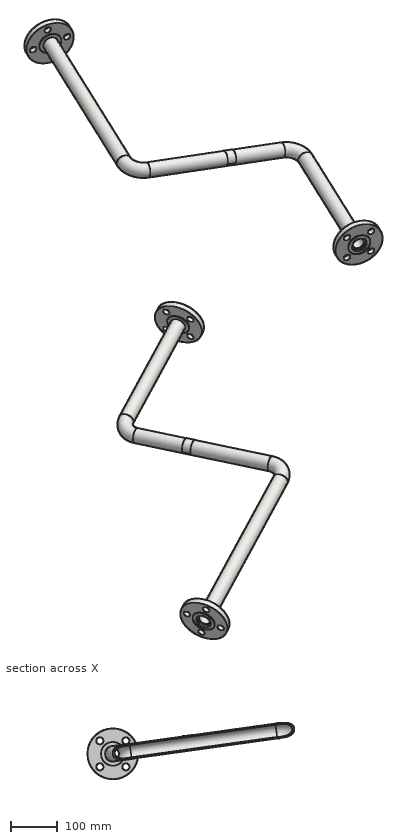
import cadquery as cq
import math

OVERALL_LENGTH = 819.0
RUN_OFFSET_Y = 387.0
RUN_DROP_Z = 54.0
MIDDLE_RUN_X = 473.0
MIDDLE_RUN_LENGTH = math.hypot(RUN_OFFSET_Y, RUN_DROP_Z)
SLOPE_ANGLE = math.degrees(math.atan2(RUN_DROP_Z, RUN_OFFSET_Y))

PIPE_DIAMETER = 33.5
PIPE_BORE = 25.0
BEND_RADIUS = 38.5
PIPE_SETBACK = 6.0

FLANGE_DIAMETER = 109.0
FLANGE_THICKNESS = 13.0
FACE_DIAMETER = 51.0
FACE_HEIGHT = 2.0
HUB_DIAMETER = 51.0
HUB_HEIGHT = 2.0
BOLT_CIRCLE_DIAMETER = 79.0
BOLT_HOLE_DIAMETER = 15.0
BOLT_HOLE_COUNT = 4
INLET_BOLT_ANGLE = -SLOPE_ANGLE
OUTLET_BOLT_ANGLE = 45.0

LABEL_LENGTH = 20.0
LABEL_THICKNESS = 0.5
LABEL_WRAP_ANGLE = 200.0
LABEL_POSITION = 228.5

ORIGIN = cq.Vector(0, 0, 0)
X_AXIS = cq.Vector(1, 0, 0)
Z_AXIS = cq.Vector(0, 0, 1)


def tilt(body):
    """Turn a body built in the flat XY route into the sloping plane of the route."""
    return body.rotate(ORIGIN, X_AXIS, -SLOPE_ANGLE)


def make_pipe(start, end):
    """Straight tube between two points of the flat route."""
    axis = cq.Vector(*end) - cq.Vector(*start)
    section = cq.Workplane(cq.Plane(origin=start, normal=axis.toTuple()))
    section = section.circle(PIPE_DIAMETER / 2).circle(PIPE_BORE / 2)
    return tilt(section.extrude(axis.Length))


def make_elbow(start_x, run_y, turn):
    """Quarter bend from a run along X to the middle run, on its +Y (turn = 1) or -Y (turn = -1) side."""
    section = cq.Workplane("YZ", origin=(start_x, run_y, 0))
    section = section.circle(PIPE_DIAMETER / 2).circle(PIPE_BORE / 2)
    bend_centre_y = turn * BEND_RADIUS
    return tilt(section.revolve(90, (bend_centre_y, 0, 0), (bend_centre_y, 1, 0)))


def make_flange(bolt_angle):
    """Slip-on flange along +X with the back of its plate at X = 0 and its hub towards -X."""
    flange = cq.Workplane("YZ").circle(FLANGE_DIAMETER / 2).extrude(FLANGE_THICKNESS)
    hub = cq.Workplane("YZ").circle(HUB_DIAMETER / 2).extrude(-HUB_HEIGHT)
    face = cq.Workplane("YZ").circle(FACE_DIAMETER / 2).extrude(FLANGE_THICKNESS + FACE_HEIGHT)
    bore = (
        cq.Workplane("YZ", origin=(-HUB_HEIGHT, 0, 0))
        .circle(PIPE_DIAMETER / 2)
        .extrude(HUB_HEIGHT + FLANGE_THICKNESS + FACE_HEIGHT)
    )
    bolt_holes = (
        cq.Workplane("YZ")
        .polarArray(BOLT_CIRCLE_DIAMETER / 2, bolt_angle, 360, BOLT_HOLE_COUNT)
        .circle(BOLT_HOLE_DIAMETER / 2)
        .extrude(FLANGE_THICKNESS)
    )
    return flange.union(hub).union(face).cut(bore).cut(bolt_holes)


def make_label():
    """Thin curved plate lying on the top of the middle pipe."""
    inner = PIPE_DIAMETER / 2
    outer = inner + LABEL_THICKNESS
    half_wrap = math.radians(LABEL_WRAP_ANGLE / 2)

    def edge_point(radius, angle):
        """Point at an angle measured from the top of the pipe."""
        return (radius * math.sin(angle), radius * math.cos(angle))

    section = cq.Workplane("XZ", origin=(MIDDLE_RUN_X, LABEL_POSITION + LABEL_LENGTH / 2, 0))
    label = (
        section.moveTo(*edge_point(inner, -half_wrap))
        .threePointArc((0, inner), edge_point(inner, half_wrap))
        .lineTo(*edge_point(outer, half_wrap))
        .threePointArc((0, outer), edge_point(outer, -half_wrap))
        .close()
        .extrude(LABEL_LENGTH)
    )
    return tilt(label)


inlet_flange = make_flange(INLET_BOLT_ANGLE).rotate(ORIGIN, Z_AXIS, 180)
inlet_flange = inlet_flange.translate((FLANGE_THICKNESS + FACE_HEIGHT, 0, 0))
outlet_flange = make_flange(OUTLET_BOLT_ANGLE).translate(
    (OVERALL_LENGTH - FACE_HEIGHT - FLANGE_THICKNESS, RUN_OFFSET_Y, -RUN_DROP_Z)
)

inlet_bend_x = MIDDLE_RUN_X - BEND_RADIUS
outlet_bend_x = MIDDLE_RUN_X + BEND_RADIUS
pipe_ends = [
    ((PIPE_SETBACK, 0, 0), (inlet_bend_x, 0, 0)),
    ((MIDDLE_RUN_X, BEND_RADIUS, 0), (MIDDLE_RUN_X, MIDDLE_RUN_LENGTH - BEND_RADIUS, 0)),
    ((outlet_bend_x, MIDDLE_RUN_LENGTH, 0), (OVERALL_LENGTH - PIPE_SETBACK, MIDDLE_RUN_LENGTH, 0)),
]
pipes = [make_pipe(start, end).val() for start, end in pipe_ends]
inlet_elbow = make_elbow(inlet_bend_x, 0, 1)
outlet_elbow = make_elbow(outlet_bend_x, MIDDLE_RUN_LENGTH, -1)
label = make_label()

result = cq.Compound.makeCompound(
    [inlet_flange.val(), outlet_flange.val(), *pipes, inlet_elbow.val(), outlet_elbow.val(), label.val()]
)